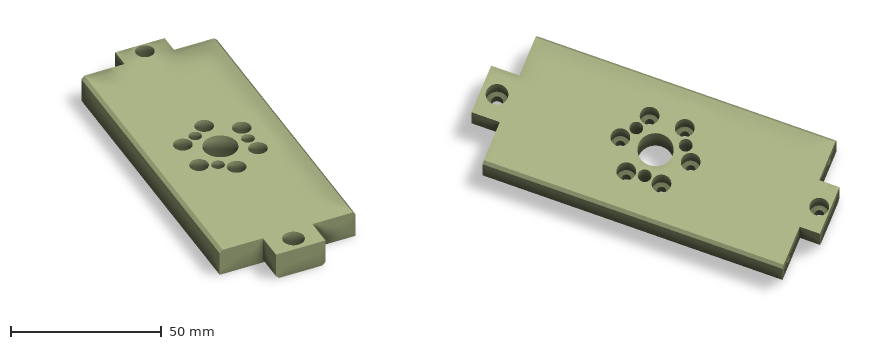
import cadquery as cq

overall_length = 123.8
width = 50.0
thickness = 10.0
left_tab_length = 7.2
right_tab_length = 10.0
tab_width = 18.2
edge_chamfer = 1.1

center_bore_diameter = 12.0
screw_diameter = 3.2
screw_head_diameter = 6.5
screw_circle_diameter = 25.0
screw_count = 6
pin_diameter = 4.6
pin_circle_diameter = 20.3
pin_count = 3
pin_start_angle = 90.0

large_screw_diameter = 4.1
large_head_diameter = 7.5
left_hole_inset = 3.7
right_hole_inset = 5.6
head_depth = 6.2

side_hole_diameter = 3.3
side_hole_spacing = 38.0
side_hole_height = 5.2
side_hole_depth = 9.9

body_left = -overall_length / 2 + left_tab_length
body_right = overall_length / 2 - right_tab_length
body_length = body_right - body_left
body_center = (body_left + body_right) / 2


def bar(length, depth, center_x):
    """Rectangular bar resting on Z = 0 and centred on the X axis."""
    block = cq.Workplane("XY").box(length, depth, thickness, centered=(True, True, False))
    return block.translate((center_x, 0, 0))


def top_plane():
    return cq.Workplane("XY", origin=(0, 0, thickness))


def counterbored(points, hole_diameter, head_diameter):
    """Vertical through holes with counterbores opening on the top face."""
    shafts = top_plane().pushPoints(points).circle(hole_diameter / 2).extrude(-thickness)
    heads = top_plane().pushPoints(points).circle(head_diameter / 2).extrude(-head_depth)
    return shafts.union(heads)


body = bar(body_length, width, body_center).edges("|X and >Z").chamfer(edge_chamfer)
tabs = bar(overall_length, tab_width, 0).edges("|X and <Z").chamfer(edge_chamfer)
plate = body.union(tabs)

plate = plate.cut(top_plane().circle(center_bore_diameter / 2).extrude(-thickness))
pin_holes = (
    top_plane()
    .polarArray(pin_circle_diameter / 2, pin_start_angle, 360, pin_count)
    .circle(pin_diameter / 2)
    .extrude(-thickness)
)
plate = plate.cut(pin_holes)

ring_points = [
    location.toTuple()[0][:2]
    for location in cq.Workplane("XY").polarArray(screw_circle_diameter / 2, 0, 360, screw_count).vals()
]
left_hole = (-overall_length / 2 + left_hole_inset, 0)
right_hole = (overall_length / 2 - right_hole_inset, 0)
plate = plate.cut(counterbored(ring_points + [left_hole], screw_diameter, screw_head_diameter))
plate = plate.cut(counterbored([right_hole], large_screw_diameter, large_head_diameter))

side_holes = (
    cq.Workplane("YZ", origin=(body_left, 0, side_hole_height))
    .pushPoints([(-side_hole_spacing / 2, 0), (side_hole_spacing / 2, 0)])
    .circle(side_hole_diameter / 2)
    .extrude(side_hole_depth)
)
result = plate.cut(side_holes)